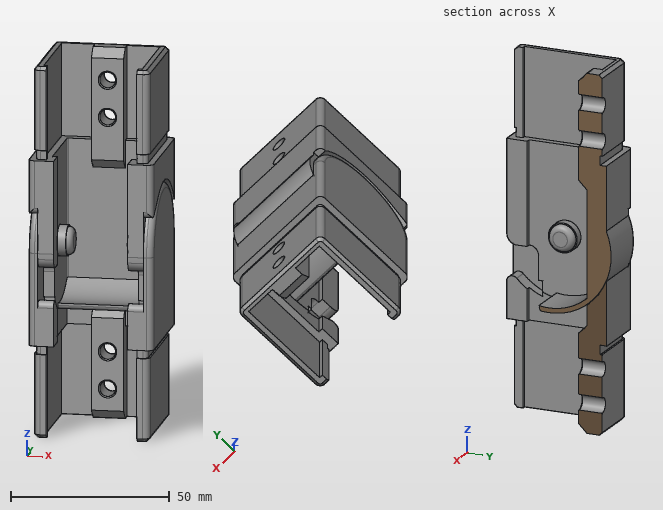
import cadquery as cq
import math


sleeve_width = 40.0
sleeve_half = sleeve_width / 2
sleeve_end = 30.0
corner_radius = 2.0
cavity_half = 13.5
cavity_back = 13.2
cavity_corner = 0.5
lip_opening = 11.9
lip_back = -12.8

part_end = 60.0
spigot_width = 37.0
spigot_half = spigot_width / 2
spigot_chamfer = 1.1
spigot_inner_half = 15.7
spigot_inner_back = 16.2
spigot_inner_front = -15.5
spigot_opening = 14.5
neck_width = 35.8
neck_half = neck_width / 2
neck_end = 33.0

rib_width = 10.3
rib_front = 10.2
rib_chamfer = 3.0
upper_rib_start = 21.0
lower_rib_start = 24.0
screw_diameter = 5.0
screw_mouth_diameter = 5.9
screw_mouth_depth = 0.4
screw_heights = (37.9, 49.9)

knuckle_half = 16.9
barrel_diameter = 43.3
barrel_radius = barrel_diameter / 2
barrel_inner_radius = 19.9
barrel_front = -3.4
web_fillet = 1.2
lip_bottom = -5.0
lip_fillet = 3.5
plate_fillet = 3.0
plate_front = -9.6
plate_foot_front = -8.3
plate_foot_top = -16.3
lip_pocket_radius = 23.0
relief_radius = 20.6
relief_slope = 30
relief_rear = 10.5
pin_diameter = 10.0
pin_hole_diameter = 10.1
pin_inner_end = 10.7
knob_radius = 4.5
knob_inner_end = 8.6


def box(x_limits, y_limits, z_limits):
    """A box between the given limits."""
    sizes = [high - low for low, high in (x_limits, y_limits, z_limits)]
    corner = (x_limits[0], y_limits[0], z_limits[0])
    return cq.Workplane("XY").box(*sizes, centered=False).translate(corner)


def centred_box(half_width, y_limits, z_limits):
    """A box between the given limits, centred on X = 0."""
    return box((-half_width, half_width), y_limits, z_limits)


def square_bar(half, corner, z_start, z_end):
    """An upright square bar with rounded long edges."""
    bar = centred_box(half, (-half, half), (z_start, z_end))
    return bar.edges("|Z").fillet(corner)


def x_cylinder(diameter, x_start, x_end):
    """A cylinder on the hinge axis."""
    return cq.Workplane("YZ", origin=(x_start, 0, 0)).circle(diameter / 2).extrude(x_end - x_start)


def x_plane(half_width):
    """A YZ plane from which an extrusion of twice half_width is centred on X = 0."""
    return cq.Workplane("YZ", origin=(-half_width, 0, 0))


def mirror_x(shape):
    """The shape together with its mirror image across X = 0."""
    return shape.union(shape.mirror("YZ"))


def polar(radius, degrees):
    """The (Y, Z) point at an angle from +Y about the hinge axis."""
    angle = math.radians(degrees)
    return (radius * math.cos(angle), radius * math.sin(angle))


def below_axis(radius, y):
    """The (Y, Z) point at y on the lower half of a circle about the hinge axis."""
    return (y, -math.sqrt(radius**2 - y**2))




def make_spigot():
    """The C-shaped spigot above a sleeve, with its neck."""
    head = square_bar(spigot_half, corner_radius, neck_end, part_end)
    head = head.faces(">Z").chamfer(spigot_chamfer)
    neck_corner = corner_radius - (spigot_half - neck_half)
    neck = square_bar(neck_half, neck_corner, sleeve_end, neck_end)
    heights = (sleeve_end, part_end)
    inside = centred_box(spigot_inner_half, (spigot_inner_front, spigot_inner_back), heights)
    mouth = centred_box(spigot_opening, (-spigot_half, spigot_inner_front), heights)
    return head.union(neck).cut(inside).cut(mouth)


def make_rib(rib_start):
    """The screw rib with sloped ends."""
    rib = centred_box(rib_width / 2, (rib_front, spigot_inner_back), (rib_start, part_end))
    return rib.faces("<Y").edges("|X").chamfer(rib_chamfer)


def cut_screw_holes(body):
    """Cut the countersunk screw holes through the rib and the wall behind it."""
    for height in screw_heights:
        start = cq.Vector(0, rib_front, height)
        back = cq.Vector(0, 1, 0)
        hole = cq.Solid.makeCylinder(screw_diameter / 2, spigot_half - rib_front, start, back)
        mouth = cq.Solid.makeCone(
            screw_mouth_diameter / 2, screw_diameter / 2, screw_mouth_depth, start, back
        )
        body = body.cut(cq.Workplane(hole)).cut(cq.Workplane(mouth))
    return body


def make_channel_end(rib_start):
    """A spigot with its rib, before the screw holes are cut."""
    return make_spigot().union(make_rib(rib_start))


def cut_lip_opening(body):
    """Open the front of a sleeve between its lips."""
    return body.cut(centred_box(lip_opening, (-barrel_radius, lip_back), (-sleeve_end, sleeve_end)))




def make_knuckle():
    """The middle of the upper half, between the lower cheeks, still solid."""
    lip_centre_z = lip_bottom + lip_fillet
    lip_centre_radius = sleeve_half - lip_fillet
    lip_centre_y = -math.sqrt(lip_centre_radius**2 - lip_centre_z**2)
    growth = sleeve_half / lip_centre_radius
    lip_contact = (lip_centre_y * growth, lip_centre_z * growth)
    lip_mid_angle = 180 + math.degrees(math.asin(-lip_centre_z / lip_centre_radius)) / 2
    hump_end = math.sqrt(barrel_radius**2 - sleeve_half**2)
    return (
        x_plane(knuckle_half)
        .moveTo(-sleeve_half, sleeve_end)
        .lineTo(-sleeve_half, 0)
        .threePointArc(polar(sleeve_half, lip_mid_angle), lip_contact)
        .tangentArcPoint((lip_centre_y, lip_bottom), relative=False)
        .lineTo(plate_front - plate_fillet, lip_bottom)
        .tangentArcPoint((plate_front, lip_bottom - plate_fillet), relative=False)
        .lineTo(plate_front, plate_foot_top)
        .lineTo(plate_foot_front, plate_foot_top)
        .lineTo(*below_axis(barrel_radius, plate_foot_front))
        .threePointArc(polar(barrel_radius, -45), (sleeve_half, hump_end))
        .lineTo(sleeve_half, sleeve_end)
        .close()
        .extrude(2 * knuckle_half)
    )


def make_upper_sleeve():
    """The full-width sleeve above the clearance cut around the lower cheeks."""
    slope = math.radians(relief_slope)
    fillet_y = -sleeve_half + corner_radius
    slope_end_y = fillet_y - corner_radius * math.sin(slope)
    tangent_y, tangent_z = polar(relief_radius, 90 + relief_slope)
    slope_end_z = tangent_z + (slope_end_y - tangent_y) * math.tan(slope)
    front_z = slope_end_z + corner_radius * math.cos(slope)
    relief_rear_y = math.sqrt(relief_radius**2 - relief_rear**2)
    sleeve = (
        x_plane(sleeve_half)
        .moveTo(-sleeve_half, sleeve_end)
        .lineTo(-sleeve_half, front_z)
        .tangentArcPoint((slope_end_y, slope_end_z), relative=False)
        .lineTo(tangent_y, tangent_z)
        .threePointArc((0, relief_radius), (relief_rear_y, relief_rear))
        .lineTo(sleeve_half, relief_rear)
        .lineTo(sleeve_half, sleeve_end)
        .close()
        .extrude(2 * sleeve_half)
    )
    return sleeve.intersect(square_bar(sleeve_half, corner_radius, 0, sleeve_end))


def make_upper_cavity():
    """The space inside the knuckle, which leaves the curved barrel web below it."""
    cavity = (
        x_plane(cavity_half)
        .moveTo(lip_back, sleeve_end)
        .lineTo(cavity_back, sleeve_end)
        .lineTo(*below_axis(barrel_inner_radius, cavity_back))
        .threePointArc(
            below_axis(barrel_inner_radius, (cavity_back + barrel_front) / 2),
            below_axis(barrel_inner_radius, barrel_front),
        )
        .lineTo(barrel_front, -barrel_radius)
        .lineTo(lip_back, -barrel_radius)
        .close()
        .extrude(2 * cavity_half)
    )
    return cavity.edges("|Z and >Y").fillet(cavity_corner)


def round_web_edge(body):
    """Round the lower front edge of the barrel web."""
    edge_z = below_axis(barrel_radius, barrel_front)[1]
    edge = cq.selectors.NearestToPointSelector((0, barrel_front, edge_z))
    return body.edges(edge).fillet(web_fillet)


def make_upper_half():
    body = make_knuckle().union(make_upper_sleeve()).cut(make_upper_cavity())
    body = round_web_edge(cut_lip_opening(body))
    body = body.union(make_channel_end(upper_rib_start))
    body = body.cut(x_cylinder(pin_hole_diameter, -knuckle_half, knuckle_half))
    return cut_screw_holes(body)




def make_cheek_block():
    """The lower sleeve with its round-topped cheeks, still solid."""
    block = (
        x_plane(sleeve_half)
        .moveTo(-sleeve_half, -sleeve_end)
        .lineTo(-sleeve_half, 0)
        .threePointArc((0, sleeve_half), (sleeve_half, 0))
        .lineTo(sleeve_half, -sleeve_end)
        .close()
        .extrude(2 * sleeve_half)
    )
    outer_edges = block.faces("<X or >X").edges("not <Z")
    return outer_edges.fillet(corner_radius)


def cut_knuckle_pocket(block):
    """Make room between the cheeks for the upper half.

    The round top of each front lip is tangent to the front face and to the wider pocket behind it.
    """
    pocket = x_cylinder(barrel_diameter, -knuckle_half, knuckle_half)
    lip_pocket = x_cylinder(2 * lip_pocket_radius, -knuckle_half, knuckle_half)
    in_front = centred_box(knuckle_half, (-sleeve_half, plate_foot_front), (-sleeve_end, 0))
    lip_pocket = lip_pocket.intersect(in_front)
    tip_y = -sleeve_half + corner_radius
    tip_distance = lip_pocket_radius + corner_radius
    tip_z = below_axis(tip_distance, tip_y)[1]
    shrink = lip_pocket_radius / tip_distance
    above_lips = (
        x_plane(knuckle_half)
        .moveTo(-sleeve_half, 0)
        .lineTo(-sleeve_half, tip_z)
        .threePointArc((tip_y, tip_z + corner_radius), (tip_y * shrink, tip_z * shrink))
        .lineTo(0, 0)
        .close()
        .extrude(2 * knuckle_half)
    )
    return block.cut(pocket).cut(lip_pocket).cut(above_lips)


def make_pin():
    """One hinge pin, from the cheek at +X to its rounded knob in the cavity."""
    shank = x_cylinder(pin_diameter, pin_inner_end, knuckle_half)
    knob_length = pin_inner_end - knob_inner_end
    knob = (
        cq.Workplane("XZ")
        .moveTo(pin_inner_end, 0)
        .lineTo(pin_inner_end, knob_radius)
        .radiusArc((knob_inner_end, knob_radius - knob_length), -knob_length)
        .lineTo(knob_inner_end, 0)
        .close()
        .revolve(360, (0, 0, 0), (1, 0, 0))
    )
    return shank.union(knob)


def make_lower_half():
    cavity = centred_box(cavity_half, (lip_back, cavity_back), (-sleeve_end, 0))
    body = cut_lip_opening(cut_knuckle_pocket(make_cheek_block()).cut(cavity))
    channel_end = cut_screw_holes(make_channel_end(lower_rib_start)).mirror("XY")
    return body.union(channel_end).union(mirror_x(make_pin()))


upper_half = make_upper_half()
lower_half = make_lower_half()
result = cq.Compound.makeCompound([upper_half.val(), lower_half.val()])